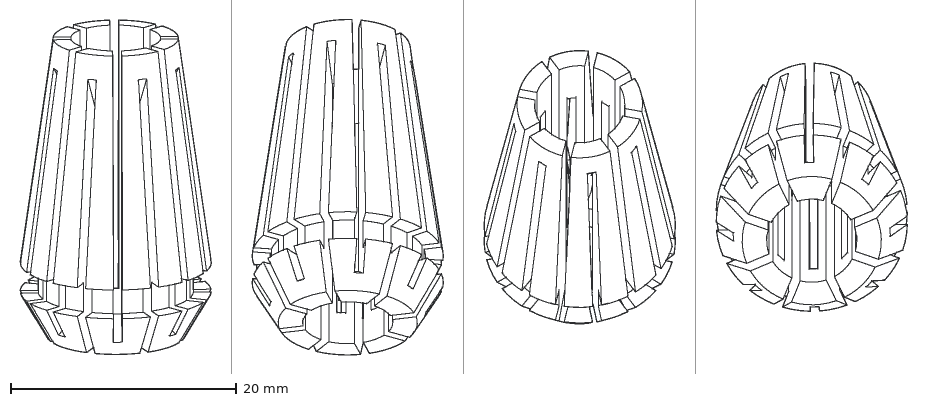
import cadquery as cq
import math

LENGTH = 27.5
RIM_RADIUS = 8.5
BORE_DIAMETER = 8.0
CLOSING_ANGLE = 8.0
NOSE_ANGLE = 30.0

GROOVE_BOTTOM = 4.02
GROOVE_TOP = 6.68
GROOVE_RADIUS = 6.9

SLOTS_PER_SET = 8
SLOT_WIDTH = 0.8
LOWER_SLOT_END = 25.3
LOWER_SLOT_SLOPE = 60.0
UPPER_SLOT_END = 1.38
UPPER_SLOT_SLOPE = 30.0
CUT_MARGIN = 1.38

SLOT_PITCH = 360.0 / SLOTS_PER_SET
BORE_RADIUS = BORE_DIAMETER / 2


def slope(angle):
    """Ratio of opposite to adjacent side for an angle in degrees."""
    return math.tan(math.radians(angle))


def upper_cone_radius(z):
    return RIM_RADIUS - (z - GROOVE_TOP) * slope(CLOSING_ANGLE)


def nose_cone_radius(z):
    return RIM_RADIUS - (GROOVE_BOTTOM - z) * slope(NOSE_ANGLE)


def make_body():
    """Revolved double-cone sleeve with bore and extraction groove."""
    return (
        cq.Workplane("XZ")
        .moveTo(BORE_RADIUS, 0)
        .lineTo(nose_cone_radius(0), 0)
        .lineTo(RIM_RADIUS, GROOVE_BOTTOM)
        .lineTo(GROOVE_RADIUS, GROOVE_BOTTOM)
        .lineTo(GROOVE_RADIUS, GROOVE_TOP)
        .lineTo(RIM_RADIUS, GROOVE_TOP)
        .lineTo(upper_cone_radius(LENGTH), LENGTH)
        .lineTo(BORE_RADIUS, LENGTH)
        .close()
        .revolve(360, (0, 0, 0), (0, 1, 0))
    )


def make_slot(end_radius, end_height, end_slope, open_height):
    """Radial slot cutter along +X from its sloping end face to open_height.

    end_slope is the change in height per unit of radius along the end face.
    """
    inner = BORE_RADIUS - CUT_MARGIN
    outer = RIM_RADIUS + CUT_MARGIN
    inner_height = end_height + (inner - end_radius) * end_slope
    outer_height = end_height + (outer - end_radius) * end_slope
    profile = [
        (inner, open_height),
        (outer, open_height),
        (outer, outer_height),
        (inner, inner_height),
    ]
    return cq.Workplane("XZ").polyline(profile).close().extrude(SLOT_WIDTH / 2, both=True)


def cut_slot_set(body, slot, first_angle):
    for index in range(SLOTS_PER_SET):
        angle = first_angle + index * SLOT_PITCH
        body = body.cut(slot.rotate((0, 0, 0), (0, 0, 1), angle))
    return body


lower_slot = make_slot(
    upper_cone_radius(LOWER_SLOT_END),
    LOWER_SLOT_END,
    slope(LOWER_SLOT_SLOPE),
    -CUT_MARGIN,
)
upper_slot = make_slot(
    nose_cone_radius(UPPER_SLOT_END),
    UPPER_SLOT_END,
    -slope(UPPER_SLOT_SLOPE),
    LENGTH + CUT_MARGIN,
)

result = make_body()
result = cut_slot_set(result, lower_slot, 0)
result = cut_slot_set(result, upper_slot, SLOT_PITCH / 2)